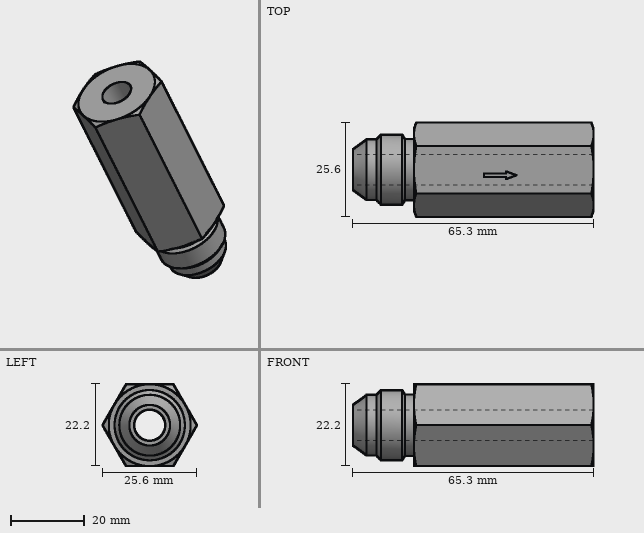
import cadquery as cq
import math

total_length = 65.3
bore_diameter = 8.35

hex_start = 16.6
hex_across_corners = 25.65
hex_across_flats = hex_across_corners * math.cos(math.radians(30))
hex_chamfer_angle = 20.0

tip_diameter = 11.0
seat_diameter = 16.5
land_diameter = 19.05
undercut_diameter = 16.7
cone_end = 3.8
seat_end = 6.4
land_end = 13.4
undercut_start = 14.1

arrow_tail = 35.6
arrow_head_base = 41.5
arrow_tip = 44.4
arrow_centre_y = -1.5
arrow_shaft_width = 0.85
arrow_head_width = 2.1
arrow_depth = 0.1


def revolve_about_x(profile):
    """Turn an (x, radius) outline a full revolution about the X axis."""
    return cq.Workplane("XY").polyline(profile).close().revolve(360, (0, 0, 0), (1, 0, 0))


def make_nose():
    seat_radius = seat_diameter / 2
    land_radius = land_diameter / 2
    undercut_radius = undercut_diameter / 2
    land_start = seat_end + land_radius - seat_radius
    return revolve_about_x([
        (0, 0),
        (0, tip_diameter / 2),
        (cone_end, seat_radius),
        (seat_end, seat_radius),
        (land_start, land_radius),
        (land_end, land_radius),
        (undercut_start, undercut_radius),
        (hex_start, undercut_radius),
        (hex_start, 0),
    ])


def make_hex_body():
    """Hexagonal prism whose corners are turned back conically at both ends."""
    prism = (
        cq.Workplane("YZ", origin=(hex_start, 0, 0))
        .polygon(6, hex_across_corners)
        .extrude(total_length - hex_start)
    )
    face_radius = hex_across_flats / 2
    corner_radius = hex_across_corners / 2
    chamfer_length = (corner_radius - face_radius) * math.tan(math.radians(hex_chamfer_angle))
    envelope = revolve_about_x([
        (hex_start, 0),
        (hex_start, face_radius),
        (hex_start + chamfer_length, corner_radius),
        (total_length - chamfer_length, corner_radius),
        (total_length, face_radius),
        (total_length, 0),
    ])
    return prism.intersect(envelope)


def make_bore():
    return cq.Workplane("YZ").circle(bore_diameter / 2).extrude(total_length)


def make_flow_arrow():
    half_shaft = arrow_shaft_width / 2
    half_head = arrow_head_width / 2
    return (
        cq.Workplane("XY", origin=(0, arrow_centre_y, hex_across_flats / 2))
        .polyline([
            (arrow_tail, -half_shaft),
            (arrow_head_base, -half_shaft),
            (arrow_head_base, -half_head),
            (arrow_tip, 0),
            (arrow_head_base, half_head),
            (arrow_head_base, half_shaft),
            (arrow_tail, half_shaft),
        ])
        .close()
        .extrude(-arrow_depth)
    )


result = make_hex_body().union(make_nose()).cut(make_bore()).cut(make_flow_arrow())